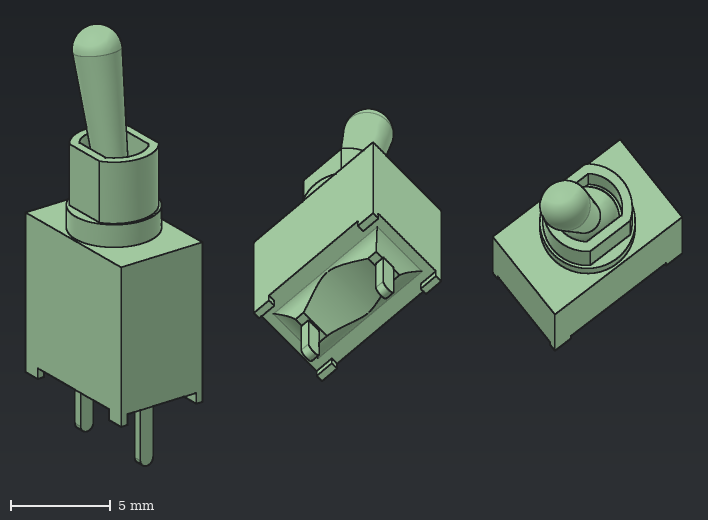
import cadquery as cq
import math


housing_length = 8.13
housing_width = 5.08
housing_height = 8.85
foot_height = 0.6
foot_length = 1.04
foot_width = 0.4

flange_diameter = 4.8
flange_height = 1.25
bushing_diameter = 4.5
bushing_height = 3.4
bushing_across_flats = 3.7
bore_diameter = 3.5
bore_across_flats = 2.7

overall_height = 22.79
pivot_height_above_flange = 0.8
pivot_ball_radius = 1.6
lever_tilt = 11.1
lever_half_taper = 3.8
lever_tip_radius = 1.27

pin_pitch = 5.08
pin_thickness = 0.5
pin_width = 0.8
pin_length = 3.33

resin_bottom_inner = 2.2
resin_bottom_outer = 2.75
resin_bottom_half_width = 0.87
resin_flare = 0.79
resin_flare_sag = 0.11
resin_arch_gap = 0.04

flange_top = housing_height + flange_height
bushing_top = flange_top + bushing_height
pivot_height = flange_top + pivot_height_above_flange
lever_top = overall_height - pin_length


def double_flat_cylinder(diameter, across_flats, bottom, top):
    """Upright cylinder with two flats facing -Y and +Y."""
    height = top - bottom
    base = cq.Workplane("XY").workplane(offset=bottom)
    round_bar = base.circle(diameter / 2).extrude(height)
    return round_bar.intersect(base.rect(diameter, across_flats).extrude(height))


def flare_middle(bottom):
    """Mid-arc point of the concave flare that rises outward from the given half-width at Z = 0."""
    chord = math.hypot(resin_flare, foot_height)
    return (
        bottom + resin_flare / 2 - resin_flare_sag * foot_height / chord,
        foot_height / 2 + resin_flare_sag * resin_flare / chord,
    )


def make_housing():
    """Box whose underside is cut by two crossing channels, leaving four corner feet."""
    box = cq.Workplane("XY").box(housing_length, housing_width, housing_height, centered=(True, True, False))
    lengthwise_channel = cq.Workplane("XY").rect(housing_length, housing_width - 2 * foot_width)
    crosswise_channel = cq.Workplane("XY").rect(housing_length - 2 * foot_length, housing_width)
    return box.cut(lengthwise_channel.extrude(foot_height)).cut(crosswise_channel.extrude(foot_height))


def make_bushing():
    """Round flange below a double-flat bushing with a double-flat bore down to the pivot."""
    housing_top = cq.Workplane("XY").workplane(offset=housing_height)
    flange = housing_top.circle(flange_diameter / 2).extrude(flange_height)
    barrel = double_flat_cylinder(bushing_diameter, bushing_across_flats, flange_top, bushing_top)
    bore = double_flat_cylinder(bore_diameter, bore_across_flats, pivot_height, bushing_top)
    return flange.union(barrel).cut(bore)


def make_lever():
    """Pivot ball and tapered stick with a hemispherical tip, tilted towards -X."""
    tilt = math.radians(lever_tilt)
    taper = math.radians(lever_half_taper)
    tip_distance = (lever_top - lever_tip_radius - pivot_height) / math.cos(tilt)
    root_radius = lever_tip_radius - tip_distance * math.tan(taper)
    stick = (
        cq.Workplane("XZ")
        .lineTo(root_radius, 0)
        .lineTo(lever_tip_radius, tip_distance)
        .radiusArc((0, tip_distance + lever_tip_radius), -lever_tip_radius)
        .close()
        .revolve(360, (0, 0, 0), (0, 1, 0))
    )
    tilted_stick = stick.rotate((0, 0, 0), (0, 1, 0), -lever_tilt)
    ball = cq.Workplane("XY").sphere(pivot_ball_radius)
    return ball.union(tilted_stick).translate((0, 0, pivot_height))


def make_pin(x):
    """Flat terminal with a fully rounded end."""
    tip_radius = pin_width / 2
    straight_end = tip_radius - pin_length
    return (
        cq.Workplane("YZ")
        .workplane(offset=x - pin_thickness / 2)
        .moveTo(-tip_radius, foot_height)
        .lineTo(-tip_radius, straight_end)
        .threePointArc((0, -pin_length), (tip_radius, straight_end))
        .lineTo(tip_radius, foot_height)
        .close()
        .extrude(pin_thickness)
    )


def make_resin():
    """Resin fillets: an arched lengthwise outline crossed with a flared crosswise outline."""
    top_half_length = resin_bottom_outer + resin_flare
    top_half_width = resin_bottom_half_width + resin_flare
    end_x, end_z = flare_middle(resin_bottom_outer)
    lengthwise = (
        cq.Workplane("XZ")
        .moveTo(-top_half_length, foot_height)
        .threePointArc((-end_x, end_z), (-resin_bottom_outer, 0))
        .lineTo(-resin_bottom_inner, 0)
        .threePointArc((0, foot_height - resin_arch_gap), (resin_bottom_inner, 0))
        .lineTo(resin_bottom_outer, 0)
        .threePointArc((end_x, end_z), (top_half_length, foot_height))
        .close()
        .extrude(top_half_width, both=True)
    )
    flank_y, flank_z = flare_middle(resin_bottom_half_width)
    crosswise = (
        cq.Workplane("YZ")
        .moveTo(-top_half_width, foot_height)
        .threePointArc((-flank_y, flank_z), (-resin_bottom_half_width, 0))
        .lineTo(resin_bottom_half_width, 0)
        .threePointArc((flank_y, flank_z), (top_half_width, foot_height))
        .close()
        .extrude(top_half_length, both=True)
    )
    return lengthwise.intersect(crosswise)


result = make_housing().union(make_bushing()).union(make_lever()).union(make_resin())
for side in (-1, 1):
    result = result.union(make_pin(side * pin_pitch / 2))